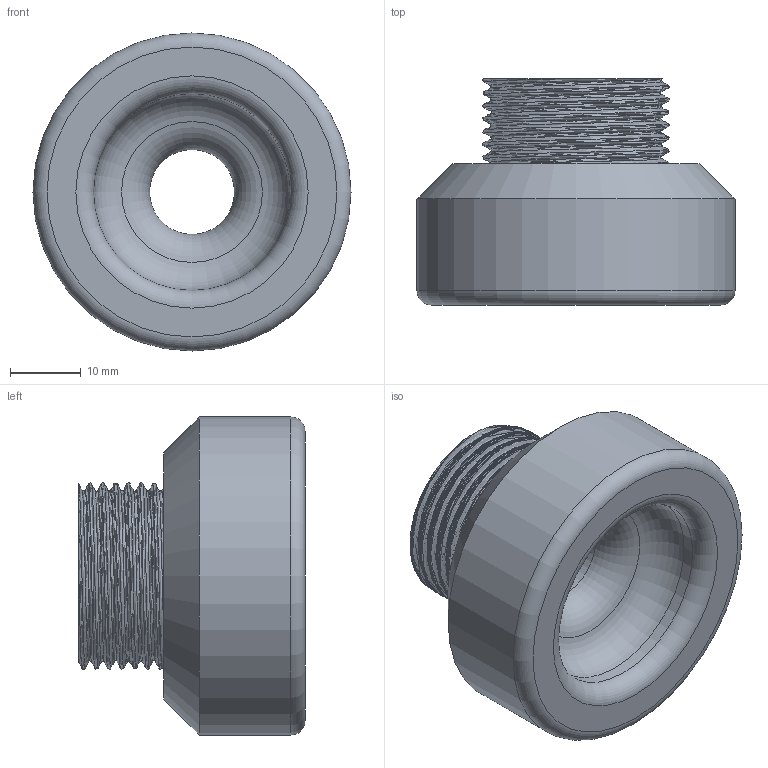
import cadquery as cq
import math


body_diameter = 45.0
body_length = 20.0
front_edge_radius = 2.0
rear_chamfer = 5.0

neck_length = 12.0
thread_major_diameter = 26.441
inch = 25.4
threads_per_inch = 14
thread_pitch = inch / threads_per_inch
thread_angle = 55.0
whitworth_depth_ratio = 0.640327
whitworth_radius_ratio = 0.137329
curve_steps = 12

mouth_diameter = 27.86
mouth_lip_radius = 2.5
bore_diameter = 12.0
funnel_radius = 5.0
funnel_end = 14.0

body_radius = body_diameter / 2
mouth_radius = mouth_diameter / 2
bore_radius = bore_diameter / 2
total_length = body_length + neck_length
thread_depth = whitworth_depth_ratio * thread_pitch
thread_rounding = whitworth_radius_ratio * thread_pitch
crest_radius = thread_major_diameter / 2
root_radius = crest_radius - thread_depth
flank_slope = math.tan(math.radians(thread_angle / 2))
rounding_half_width = thread_rounding * math.cos(math.radians(thread_angle / 2))


def make_body():
    """Body with rounded front edge and chamfered rear, revolved about Y."""
    profile = (
        cq.Workplane("XY")
        .lineTo(body_radius - front_edge_radius, 0)
        .radiusArc((body_radius, front_edge_radius), -front_edge_radius)
        .lineTo(body_radius, body_length - rear_chamfer)
        .lineTo(body_radius - rear_chamfer, body_length)
        .lineTo(0, body_length)
        .close()
    )
    return profile.revolve(360, (0, 0, 0), (0, 1, 0))


def make_bore():
    """Rounded mouth, S-shaped funnel of two tangent arcs, and the through bore."""
    funnel_drop = (mouth_radius - bore_radius) / 2
    arc_angle = math.acos(1 - funnel_drop / funnel_radius)
    arc_length_along_axis = funnel_radius * math.sin(arc_angle)
    funnel_middle = funnel_end - arc_length_along_axis
    funnel_start = funnel_middle - arc_length_along_axis
    profile = (
        cq.Workplane("XY")
        .lineTo(mouth_radius + mouth_lip_radius, 0)
        .radiusArc((mouth_radius, mouth_lip_radius), mouth_lip_radius)
        .lineTo(mouth_radius, funnel_start)
        .radiusArc((bore_radius + funnel_drop, funnel_middle), -funnel_radius)
        .radiusArc((bore_radius, funnel_end), funnel_radius)
        .lineTo(bore_radius, total_length)
        .lineTo(0, total_length)
        .close()
    )
    return profile.revolve(360, (0, 0, 0), (0, 1, 0))


def thread_radius(offset):
    """Radius of the Whitworth thread surface at an axial offset from the crest."""
    from_crest = min(abs(offset), thread_pitch - abs(offset))
    from_root = thread_pitch / 2 - from_crest
    if from_crest < rounding_half_width:
        return crest_radius - thread_rounding + math.sqrt(thread_rounding**2 - from_crest**2)
    if from_root < rounding_half_width:
        return root_radius + thread_rounding - math.sqrt(thread_rounding**2 - from_root**2)
    return (crest_radius + root_radius) / 2 + (thread_pitch / 4 - from_crest) / flank_slope


def section_point(offset):
    """Point of the thread's cross-section; one pitch of the profile spans one full turn."""
    angle = 2 * math.pi * offset / thread_pitch
    radius = thread_radius(offset)
    return (radius * math.cos(angle), radius * math.sin(angle))


def make_threaded_neck():
    """Right-handed threaded neck: the cross-section twisted one turn per pitch."""
    root_start = thread_pitch / 2 - rounding_half_width
    stretch_ends = [
        -root_start,
        -rounding_half_width,
        rounding_half_width,
        root_start,
        thread_pitch - root_start,
    ]
    section = cq.Workplane("XY")
    for start, stop in zip(stretch_ends, stretch_ends[1:]):
        section = section.parametricCurve(
            section_point,
            N=curve_steps,
            start=start,
            stop=stop,
            makeWire=False,
        )
    return (
        section.wire()
        .twistExtrude(neck_length, 360 * neck_length / thread_pitch)
        .rotate((0, 0, 0), (1, 0, 0), -90)
        .translate((0, body_length, 0))
    )


result = make_body().union(make_threaded_neck()).cut(make_bore())